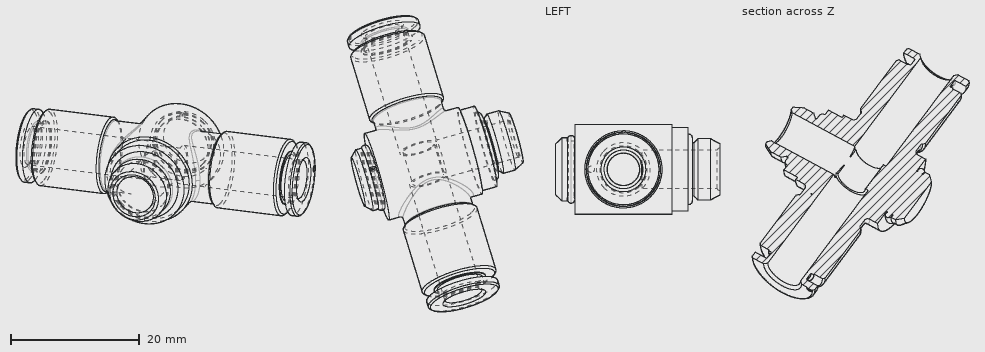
import cadquery as cq

body_diameter = 14.0
body_length = 15.07
body_end = body_length / 2

neck_diameter = 11.0
neck_blend_radius = 0.55
sleeve_start = 9.0
sleeve_root_fillet = 0.16
sleeve_end = 20.05
sleeve_diameter = 12.0
sleeve_chamfer = 0.3
lip_diameter = 8.3
lip_length = 0.15
stem_diameter = 7.3
stem_fillet = 0.2
collar_diameter = 11.55
collar_thickness = 1.2
collar_end = 22.65
collar_chamfer = 0.25

mark_diameter = 1.0
mark_offset = 5
mark_height = 45.4 - 2 * collar_end

washer_diameter = 13.0
washer_thickness = 2.5
seal_diameter = 11.0
seal_thickness = 0.7
seal_fillet = 0.65
groove_diameter = 8.3
groove_length = 0.23
thread_diameter = 9.6
thread_run_in = 0.65
thread_length = 1.9
nose_diameter = 8.0
bolt_tip = -15

head_diameter = 9.85
head_tip_diameter = 7.9
head_tip = 10.55
head_chamfer_length = 1.0
head_start = 8.65
head_groove_diameter = 8.75
ring_outer_diameter = 10.55
ring_wire_diameter = 1.1
ring_gap = 0.45

through_diameter = 5
socket_diameter = 6.0
mouth_diameter = 6.95
mouth_depth = (mouth_diameter - socket_diameter) / 2
socket_floor = 2.65
blind_bore_end = -2.9
blind_cone_tip = -2.55


def cylinder_x(diameter, start, end):
    return cq.Workplane("YZ").workplane(offset=start).circle(diameter / 2).extrude(end - start)


def cylinder_y(diameter, start, end):
    plane = cq.Plane(origin=(0, start, 0), xDir=(1, 0, 0), normal=(0, 1, 0))
    return cq.Workplane(plane).circle(diameter / 2).extrude(end - start)


def turned_y(profile):
    """Revolve a closed (radius, y) profile about the Y axis."""
    return cq.Workplane("XY").polyline(profile).close().revolve(360, (0, 0, 0), (0, 1, 0))


def fillet_root(solid, x, radius):
    """Round the inside corner where the smallest circle at x meets a shoulder."""
    at_x = cq.selectors.BoxSelector((x - radius / 2, -0.45, -0.45), (x + radius / 2, 0.45, 0.45))
    return solid.edges(at_x).edges(cq.selectors.RadiusNthSelector(0)).fillet(radius)


def make_core():
    """Body and both necks, blended where they meet."""
    body = cylinder_y(body_diameter, -body_end, body_end)
    core = body.union(cylinder_x(neck_diameter, -sleeve_start, sleeve_start))
    return core.edges("not(%CIRCLE or %LINE)").fillet(neck_blend_radius)


def make_arm():
    """Outer neck, sleeve, release collar and stem of the +X arm."""
    sleeve = cylinder_x(sleeve_diameter, sleeve_start, sleeve_end).edges().chamfer(sleeve_chamfer)
    neck = cylinder_x(neck_diameter, body_diameter / 2 + neck_blend_radius, sleeve_start)
    sleeve = fillet_root(sleeve.union(neck), sleeve_start, sleeve_root_fillet)
    lip = cylinder_x(lip_diameter, sleeve_end, sleeve_end + lip_length)
    collar_start = collar_end - collar_thickness
    collar = cylinder_x(collar_diameter, collar_start, collar_end).faces(">X").edges().chamfer(collar_chamfer)
    stem = cylinder_x(stem_diameter, sleeve_end, collar_start)
    release = collar.union(stem)
    release = fillet_root(release, collar_start, stem_fillet)
    return sleeve.union(lip).union(release)


def make_threaded_end():
    washer_end = -body_end - washer_thickness
    seal_end = washer_end - seal_thickness
    groove_end = seal_end - groove_length
    thread_start = groove_end - thread_run_in
    washer = cylinder_y(washer_diameter, washer_end, -body_end)
    seal = cylinder_y(seal_diameter, seal_end, washer_end).faces("<Y").edges().fillet(seal_fillet)
    bolt = turned_y([
        (0, seal_end),
        (groove_diameter / 2, seal_end),
        (groove_diameter / 2, groove_end),
        (thread_diameter / 2, thread_start),
        (thread_diameter / 2, thread_start - thread_length),
        (nose_diameter / 2, bolt_tip),
        (0, bolt_tip),
    ])
    return washer.union(seal).union(bolt)


def make_head_end():
    """Bolt head with a split wire ring between it and the body."""
    head = turned_y([
        (0, body_end),
        (head_groove_diameter / 2, body_end),
        (head_groove_diameter / 2, head_start),
        (head_diameter / 2, head_start),
        (head_diameter / 2, head_tip - head_chamfer_length),
        (head_tip_diameter / 2, head_tip),
        (0, head_tip),
    ])
    ring_radius = (ring_outer_diameter - ring_wire_diameter) / 2
    ring_center = (body_end + head_start) / 2
    ring = (
        cq.Workplane("XY")
        .center(ring_radius, ring_center)
        .circle(ring_wire_diameter / 2)
        .revolve(360, (-ring_radius, 0, 0), (-ring_radius, 1, 0))
    )
    gap = cq.Workplane("XY").box(
        ring_gap, 2 * ring_wire_diameter, ring_outer_diameter, centered=(True, True, False)
    ).translate((0, ring_center, 0))
    return head.union(ring.cut(gap))


def make_socket():
    """Tube socket of the +X arm with a flared mouth."""
    flare = cq.Solid.makeCone(
        socket_diameter / 2, mouth_diameter / 2, mouth_depth,
        cq.Vector(collar_end - mouth_depth, 0, 0), cq.Vector(1, 0, 0),
    )
    return cylinder_x(socket_diameter, socket_floor, collar_end).union(cq.Workplane(flare))


def make_bolt_bore():
    """Blind bore from the bolt tip with a flared mouth and a conical floor."""
    return turned_y([
        (0, bolt_tip),
        (mouth_diameter / 2, bolt_tip),
        (socket_diameter / 2, bolt_tip + mouth_depth),
        (socket_diameter / 2, blind_bore_end),
        (0, blind_cone_tip),
    ])


arm = make_arm()
socket = make_socket()
result = make_core().union(make_threaded_end()).union(make_head_end())
result = result.union(arm).union(arm.mirror("YZ"))
result = result.cut(cylinder_x(through_diameter, -collar_end, collar_end))
result = result.cut(socket).cut(socket.mirror("YZ")).cut(make_bolt_bore())

mark = cylinder_x(mark_diameter, collar_end - collar_chamfer, collar_end + mark_height)
result = result.union(mark.translate((0, mark_offset, 0)))